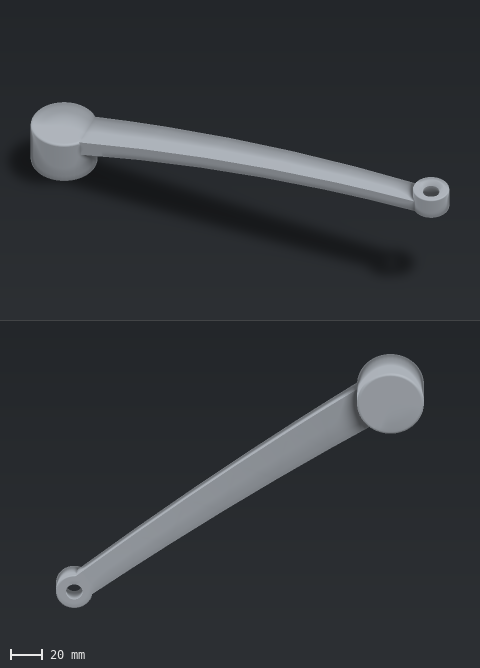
import cadquery as cq

total_length = 282.5
total_height = 61.0

hub_diameter = 42.0
hub_height = 30.8
hub_edge_fillet = 1.7

boss_diameter = 23.0
boss_bottom = 46.0
boss_edge_fillet = 0.8
hole_diameter = 10.5
hole_chamfer = 2.5

arm_start_x = 15.8
arm_level_x = 238.1
arm_start_thickness = 10.2
arm_end_thickness = 8.0
arm_start_width = 26.5
arm_level_width = 16.5

hub_radius = hub_diameter / 2
boss_radius = boss_diameter / 2
boss_x = total_length - hub_radius - boss_radius
arm_end_top = boss_bottom + arm_end_thickness
arm_start_bottom = hub_height - arm_start_thickness


def make_hub():
    """Solid cylinder with both rims rounded."""
    hub = cq.Workplane("XY").circle(hub_radius).extrude(hub_height)
    return hub.faces("<Z or >Z").edges().fillet(hub_edge_fillet)


def make_boss():
    """Raised cylinder with both rims rounded."""
    boss = cq.Workplane("XY", origin=(boss_x, 0, boss_bottom)).circle(boss_radius)
    boss = boss.extrude(total_height - boss_bottom)
    return boss.faces("<Z or >Z").edges().fillet(boss_edge_fillet)


def arc_midpoint(start_z, level_z):
    """Point on the arc that rises from the hub and becomes level at the boss."""
    run = arm_level_x - arm_start_x
    rise = level_z - start_z
    radius = (run**2 + rise**2) / (2 * rise)
    mid_drop = radius - (radius**2 - (run / 2) ** 2) ** 0.5
    return arm_start_x + run / 2, level_z - mid_drop


def make_arm():
    """Arched side profile trimmed to a plan that tapers toward the boss."""
    profile = (
        cq.Workplane("XZ")
        .moveTo(0, hub_height)
        .lineTo(arm_start_x, hub_height)
        .threePointArc(arc_midpoint(hub_height, arm_end_top), (arm_level_x, arm_end_top))
        .lineTo(boss_x, arm_end_top)
        .lineTo(boss_x, boss_bottom)
        .lineTo(arm_level_x, boss_bottom)
        .threePointArc(arc_midpoint(arm_start_bottom, boss_bottom), (arm_start_x, arm_start_bottom))
        .lineTo(0, arm_start_bottom)
        .close()
        .extrude(arm_start_width, both=True)
    )
    taper = (arm_start_width - arm_level_width) / (arm_level_x - arm_start_x)
    half_end_width = (arm_start_width - taper * (boss_x - arm_start_x)) / 2
    half_start_width = arm_start_width / 2
    plan = (
        cq.Workplane("XY")
        .polyline(
            [
                (arm_start_x, -half_start_width),
                (boss_x, -half_end_width),
                (boss_x, half_end_width),
                (arm_start_x, half_start_width),
            ]
        )
        .close()
        .extrude(total_height)
    )
    return profile.intersect(plan)


def make_hole():
    """Through hole cutter with a conical lead-in at the top of the boss."""
    hole_radius = hole_diameter / 2
    return (
        cq.Workplane("XZ")
        .moveTo(boss_x, boss_bottom)
        .lineTo(boss_x + hole_radius, boss_bottom)
        .lineTo(boss_x + hole_radius, total_height - hole_chamfer)
        .lineTo(boss_x + hole_radius + hole_chamfer, total_height)
        .lineTo(boss_x, total_height)
        .close()
        .revolve(360, (boss_x, 0), (boss_x, 1))
    )


result = make_hub().union(make_arm()).union(make_boss()).cut(make_hole())